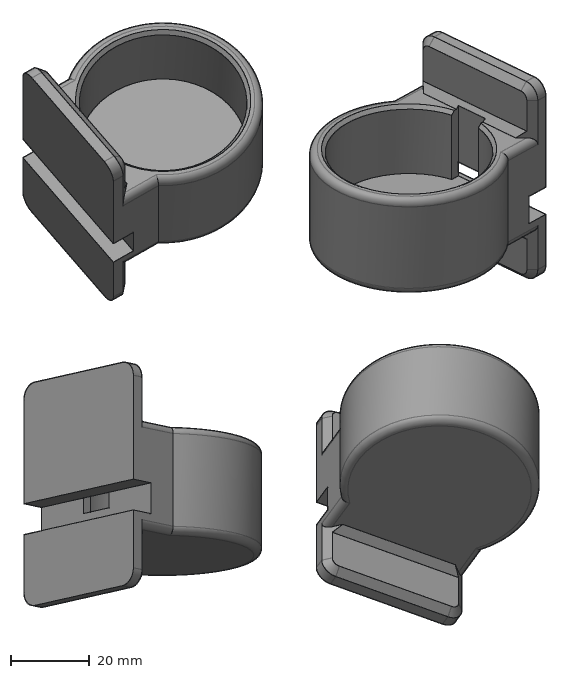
import cadquery as cq

plate_width = 39.95
plate_height = 58.0
plate_thickness = 5.0
plate_corner_radius = 4.0
edge_size = 2.0

cup_radius = 25.25
cup_height = 28.0
total_depth = 54.65
cup_center_y = total_depth - cup_radius
bore_radius = 21.2
bore_depth = 20.0
bore_chamfer = 1.0

slot_height = 8.0
slot_depth = 6.2
slot_top = -2.0
notch_width = 9.2

cup_top = cup_height / 2
bore_floor = cup_top - bore_depth
chamfer_start = plate_thickness - edge_size
brace_end = plate_thickness + edge_size


def make_plate():
    """Rounded plate, chamfered around its back face."""
    plate = cq.Workplane("XY").box(plate_width, plate_thickness, plate_height, centered=(True, False, True))
    return plate.edges("|Y").fillet(plate_corner_radius).faces(">Y").chamfer(edge_size)


def make_cup_and_neck():
    """Solid cup and neck, rounded along the top and bottom outlines."""
    cup = cq.Workplane("XY").center(0, cup_center_y).circle(cup_radius).extrude(cup_top, both=True)
    neck = (
        cq.Workplane("XY")
        .box(plate_width, cup_center_y - chamfer_start, cup_height, centered=(True, False, True))
        .translate((0, chamfer_start, 0))
    )
    body = cup.union(neck)
    return body.faces("|Z").edges("not <Y").fillet(edge_size)


def make_braces():
    """45 degree braces above and below the neck, with ends in line with the plate chamfer."""
    side_view = (
        cq.Workplane("YZ")
        .moveTo(chamfer_start, -cup_top - 2 * edge_size)
        .lineTo(brace_end, -cup_top)
        .lineTo(brace_end, cup_top)
        .lineTo(chamfer_start, cup_top + 2 * edge_size)
        .close()
        .extrude(plate_width / 2, both=True)
    )
    start_x = plate_width / 2
    end_x = start_x - (brace_end - chamfer_start)
    plan = (
        cq.Workplane("XY")
        .moveTo(-start_x, chamfer_start)
        .lineTo(start_x, chamfer_start)
        .lineTo(end_x, brace_end)
        .lineTo(-end_x, brace_end)
        .close()
        .extrude(plate_height / 2, both=True)
    )
    return side_view.intersect(plan)


def make_bore():
    """Blind round bore with a chamfered mouth."""
    bore = cq.Workplane("XY", origin=(0, cup_center_y, bore_floor)).circle(bore_radius).extrude(bore_depth)
    mouth = (
        cq.Workplane("XY", origin=(0, cup_center_y, cup_top))
        .circle(bore_radius + bore_chamfer)
        .extrude(-bore_chamfer, taper=45)
    )
    return bore.union(mouth)


def make_notch():
    """Notch from the slot bottom into the bore, open at the top and level with the bore floor."""
    return (
        cq.Workplane("XY")
        .box(notch_width, cup_center_y - slot_depth, plate_height, centered=(True, False, False))
        .translate((0, slot_depth, bore_floor))
    )


def make_slot():
    """Slot running the full width of the plate."""
    return (
        cq.Workplane("XY")
        .box(plate_width, slot_depth, slot_height, centered=(True, False, False))
        .translate((0, 0, slot_top - slot_height))
    )


body = make_plate().union(make_cup_and_neck()).union(make_braces())
result = body.cut(make_bore()).cut(make_notch()).cut(make_slot())